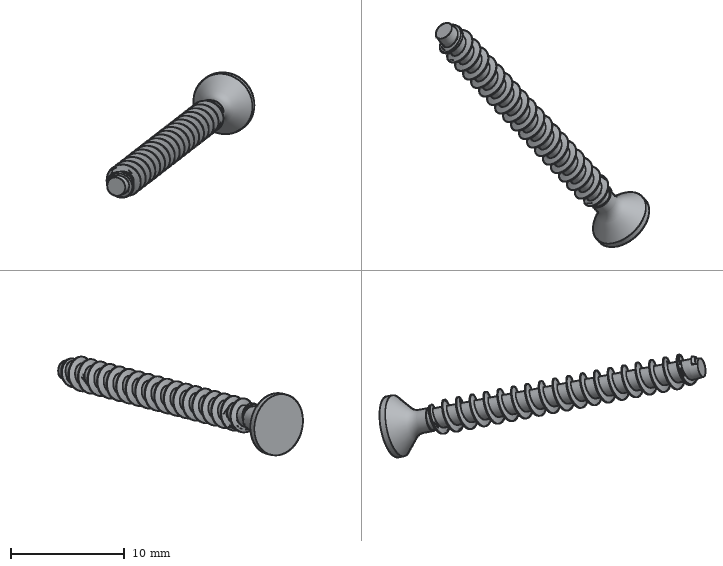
import cadquery as cq
import math

length = 30.0
head_radius = 5.5 / 2
head_band = 0.57
cone_angle = math.radians(45)
neck_radius = 1.05
neck_fillet = 1.25
neck_end = 3.72
core_radius = 0.93
tip_radius = 0.85
tip_taper = 0.75

first_crest = 4.9
last_crest = 27.65
turns_between = 17
pitch = (last_crest - first_crest) / turns_between
extra_turns_above = 1.0
extra_turns_below = 1.5
thread_radius = 1.5
crest_width = 0.1
root_width = 0.35
root_overlap = 0.1

start_radius = 1.17
full_height_start = 4.8
full_height_end = 28.2
run_out_end = 29.88


def make_blank():
    """Head, countersink, neck and core as one turned body."""
    cone_end_radius = neck_radius + neck_fillet * (1 - math.cos(cone_angle))
    cone_end = head_band + (head_radius - cone_end_radius) / math.tan(cone_angle)
    fillet_end = cone_end + neck_fillet * math.sin(cone_angle)
    return (
        cq.Workplane("XZ")
        .lineTo(head_radius, 0)
        .lineTo(head_radius, -head_band)
        .lineTo(cone_end_radius, -cone_end)
        .tangentArcPoint((neck_radius, -fillet_end), relative=False)
        .lineTo(neck_radius, -neck_end)
        .lineTo(core_radius, -neck_end)
        .lineTo(core_radius, tip_taper - length)
        .lineTo(tip_radius, -length)
        .lineTo(0, -length)
        .close()
        .revolve(360, (0, 0), (0, 1))
    )


def make_ridge():
    """Helical ridge of full height, still without run-out."""
    turns = extra_turns_above + turns_between + extra_turns_below
    bottom = -(last_crest + extra_turns_below * pitch)
    start_angle = -360 * extra_turns_below

    root_radius = core_radius - root_overlap
    flank_slope = (root_width - crest_width) / 2 / (thread_radius - core_radius)
    half_root = root_width / 2 + flank_slope * root_overlap
    half_crest = crest_width / 2
    profile = (
        cq.Workplane("XZ")
        .moveTo(root_radius, -half_root)
        .lineTo(thread_radius, -half_crest)
        .lineTo(thread_radius, half_crest)
        .lineTo(root_radius, half_root)
        .close()
    )
    helix = cq.Workplane(cq.Wire.makeHelix(pitch, turns * pitch, root_radius))
    ridge = profile.sweep(helix, isFrenet=True)
    return ridge.rotate((0, 0, 0), (0, 0, 1), start_angle).translate((0, 0, bottom))


def make_run_out_cutter(full_height_depth, end_depth, end_radius):
    """Turned body removing the ridge outside a cone and everything beyond its small end."""
    beyond = math.copysign(pitch, end_depth - full_height_depth)
    cone_slope = (thread_radius - end_radius) / abs(end_depth - full_height_depth)
    outer_radius = thread_radius + cone_slope * pitch
    cone_start = full_height_depth - beyond
    return (
        cq.Workplane("XZ")
        .moveTo(0, -end_depth)
        .lineTo(end_radius, -end_depth)
        .lineTo(outer_radius, -cone_start)
        .lineTo(outer_radius, -(end_depth + beyond))
        .lineTo(0, -(end_depth + beyond))
        .close()
        .revolve(360, (0, 0), (0, 1))
    )


neck_cutter = make_run_out_cutter(full_height_start, neck_end, start_radius)
tip_cutter = make_run_out_cutter(full_height_end, run_out_end, core_radius)
thread = make_ridge().cut(neck_cutter).cut(tip_cutter)
screw = make_blank().union(thread)
result = screw.rotate((0, 0, 0), (1, 0, 0), -90)